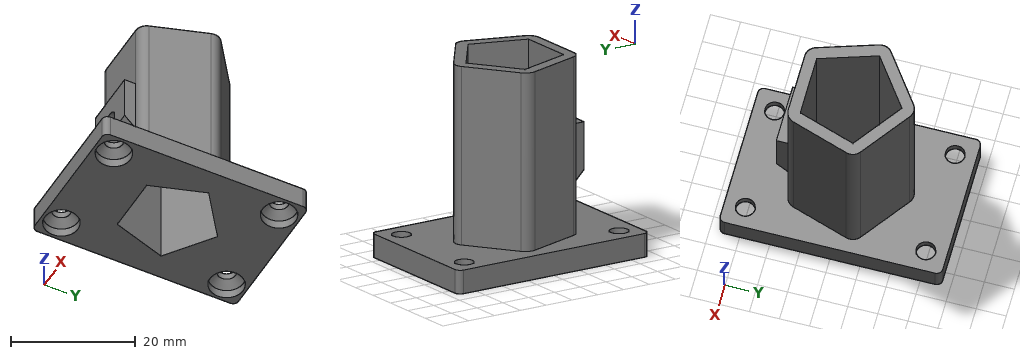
import cadquery as cq
import math

plate_width = 25.0
plate_length = 37
plate_thickness = 4.0
plate_corner_radius = 1.0
screw_hole_diameter = 3.2
screw_head_diameter = 6.0
screw_head_depth = 1.6
screw_cone_height = 1.2
screw_spacing_x = 18.0
screw_spacing_y = 30.0

total_height = 34.0
socket_circumradius = 8.6
socket_wall = 2.0
socket_apothem = socket_circumradius * math.cos(math.pi / 5)
socket_front_y = -(socket_apothem + socket_wall)

pad_width = 10
pad_thickness = 2.0
pad_top_z = 22.0
pad_bottom_z = 14.0
clamp_hole_diameter = 3.2
clamp_hole_z = 17.0


def pentagon():
    """Closed pentagon wire with one corner pointing toward +Y."""
    corners = []
    for i in range(5):
        angle = math.pi / 2 + i * 2 * math.pi / 5
        corners.append((socket_circumradius * math.cos(angle), socket_circumradius * math.sin(angle)))
    return cq.Workplane("XY").polyline(corners).close()


def make_plate():
    plate = cq.Workplane("XY").rect(plate_width, plate_length).extrude(plate_thickness)
    return plate.edges("|Z").fillet(plate_corner_radius)


def make_pad():
    """Pad whose underside slopes back to the socket at 45 degrees."""
    back_y = socket_front_y + socket_wall / 2
    outer_y = socket_front_y - pad_thickness
    slope_bottom_z = pad_bottom_z - pad_thickness
    profile = [
        (back_y, pad_top_z),
        (outer_y, pad_top_z),
        (outer_y, pad_bottom_z),
        (socket_front_y, slope_bottom_z),
        (back_y, slope_bottom_z),
    ]
    return cq.Workplane("YZ").polyline(profile).close().extrude(pad_width / 2, both=True)


def cut_screw_holes(body):
    """Countersunk plate holes: head recess below, cone, then the shank up to the top."""
    hole_radius = screw_hole_diameter / 2
    head_radius = screw_head_diameter / 2
    half_profile = [
        (0, 0),
        (head_radius, 0),
        (head_radius, screw_head_depth),
        (hole_radius, screw_head_depth + screw_cone_height),
        (hole_radius, plate_thickness),
        (0, plate_thickness),
    ]
    cutter = cq.Workplane("XZ").polyline(half_profile).close().revolve(360, (0, 0), (0, 1))
    for x in (-screw_spacing_x / 2, screw_spacing_x / 2):
        for y in (-screw_spacing_y / 2, screw_spacing_y / 2):
            body = body.cut(cutter.translate((x, y, 0)))
    return body


tube = pentagon().offset2D(socket_wall, "arc").extrude(total_height)
body = make_plate().union(tube).union(make_pad())
body = body.cut(pentagon().extrude(total_height))
body = cut_screw_holes(body)

clamp_hole = (
    cq.Workplane("XZ", origin=(0, 0, clamp_hole_z))
    .circle(clamp_hole_diameter / 2)
    .extrude(-socket_front_y + pad_thickness)
)
result = body.cut(clamp_hole)